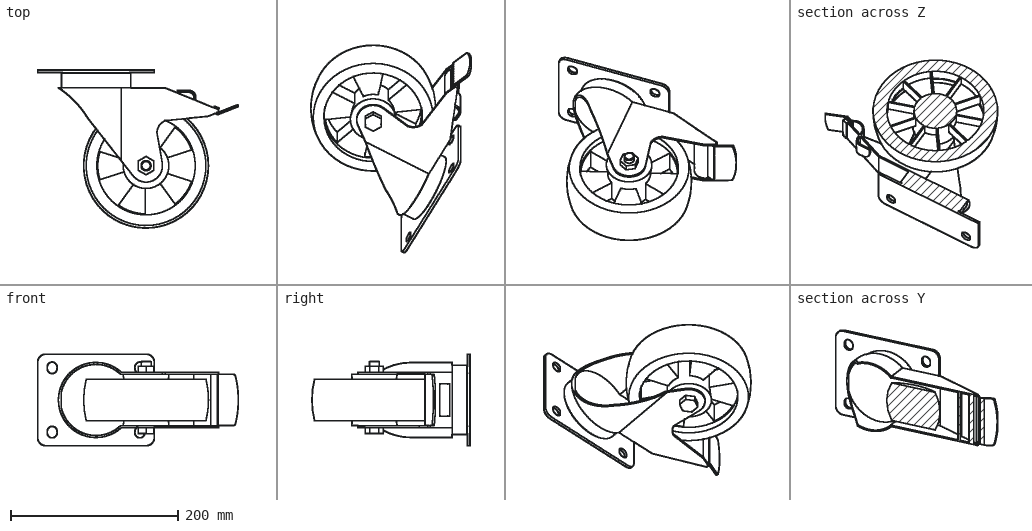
import cadquery as cq
import math


plate_length = 140.0
plate_width = 110.0
plate_thickness = 3.4
plate_corner_radius = 10.0
slot_width = 11.5
slot_length = 13.5
slot_spacing_x = 104.9
slot_spacing_z = 77.0

head_diameter = 83.2
head_chamfer_height = 2.0
head_chamfer_width = 0.7

sheet = 2.5
fork_top = -21.6
shell_radius = 45.0
flange_outer = 33.2
flange_inner = flange_outer - sheet
fork_end = 146.7
roof_bend_x = 83.0
roof_end_y = -47.5
fork_tip_y = -50.7
roof_slope = (roof_end_y - fork_top) / (fork_end - roof_bend_x)

axle_x = 60.0
axle_y = -114.7
wheel_radius = 74.8
wheel_edge_radius = 71.7
wheel_half_width = 25.0
rim_inner_radius = 59.0
web_half_width = 15.5
hub_diameter = 54.5
hub_mid_radius = 26.7
core_radius = 25.7
hub_ring_inner = 19.5
pocket_count = 5
pocket_outer_radius = 57.7
web_wall = 2.2

bolt_diameter = 12.0
bolt_end = 46.5
bolt_chamfer = 1.0
nut_across_flats = 19.0
nut_height = 7.2

boss_radius = 19.7

lever_thickness = 2.5
bend_x = 129.9
bend_y = -41.4
bend_radius = 11.5
bend_sweep_end = 306
tongue_y = -25.7
tongue_start = 97.5
tongue_half_width = 19.2
tongue_corner_radius = 12.0
curl_radius = 7.2
link_length = 10.0
pedal_start = (145.7, -52.5)
pedal_end = (170.3, -42.8)
pedal_tip_x = 170.5
pedal_side_x = 166.5
pedal_corner_radius = 3.0

lip_length = 5.8
lip_height = 2.0


def polar(center, radius, degrees):
    angle = math.radians(degrees)
    return (center[0] + radius * math.cos(angle), center[1] + radius * math.sin(angle))


def tangent_point(point, center, radius, side):
    """Where a line from point touches the circle; side is +1 or -1."""
    dx = point[0] - center[0]
    dy = point[1] - center[1]
    turn = math.acos(radius / math.hypot(dx, dy))
    return polar(center, radius, math.degrees(math.atan2(dy, dx) + side * turn))


def across(profile, half_width):
    """Extrude an XY profile evenly to both sides of Z = 0."""
    return profile.extrude(half_width, both=True)


def bar(start, end, thickness, half_width):
    """Flat strip whose mid-line runs from start to end in the XY plane."""
    length = math.hypot(end[0] - start[0], end[1] - start[1])
    slope = math.degrees(math.atan2(end[1] - start[1], end[0] - start[0]))
    strip = cq.Workplane("XY").box(length, thickness, 2 * half_width, centered=(False, True, True))
    return strip.rotate((0, 0, 0), (0, 0, 1), slope).translate((start[0], start[1], 0))


def bent_strip(center, radius, start_angle, end_angle, half_width):
    """Curved strip of lever sheet around center, from start_angle to end_angle."""
    outer = radius + lever_thickness / 2
    inner = radius - lever_thickness / 2
    middle_angle = (start_angle + end_angle) / 2
    profile = (
        cq.Workplane("XY")
        .moveTo(*polar(center, outer, start_angle))
        .threePointArc(polar(center, outer, middle_angle), polar(center, outer, end_angle))
        .lineTo(*polar(center, inner, end_angle))
        .threePointArc(polar(center, inner, middle_angle), polar(center, inner, start_angle))
        .close()
    )
    return across(profile, half_width)


def mounting_plate():
    plate = (
        cq.Workplane("XZ")
        .rect(plate_length, plate_width)
        .extrude(plate_thickness)
        .edges("|Y")
        .fillet(plate_corner_radius)
    )
    slots = (
        cq.Workplane("XZ")
        .rarray(slot_spacing_x, slot_spacing_z, 2, 2)
        .slot2D(slot_length, slot_width, 90)
        .extrude(plate_thickness)
    )
    return plate.cut(slots)


def swivel_head():
    head = cq.Workplane("XZ", origin=(0, -plate_thickness, 0)).circle(head_diameter / 2)
    head = head.extrude(-plate_thickness - fork_top)
    return head.faces(">Y").chamfer(head_chamfer_width, head_chamfer_height)


def fork_plan(radius, half_width):
    """Round shell joined to a straight channel, seen along Y."""
    depth = fork_top - axle_y + boss_radius
    plane = cq.Workplane("XZ", origin=(0, fork_top, 0))
    channel = plane.center(fork_end / 2, 0).rect(fork_end, 2 * half_width).extrude(depth)
    return plane.circle(radius).extrude(depth).union(channel)


def fork_side():
    """Side outline of the fork, from the shell's front lip round the axle boss to the tip."""
    axle = (axle_x, axle_y)
    shell_front = (-shell_radius, fork_top)
    front_arc_mid = (-28.0, -35.4)
    front_arc_end = (-9.4, -58.7)
    throat_low = (72.9, -74.8)
    throat_mid = (75.8, -66.5)
    throat_high = (83.0, -60.8)
    tip_bend = (134.2, -55.8)
    boss_left = tangent_point(front_arc_end, axle, boss_radius, 1)
    boss_right = tangent_point(throat_low, axle, boss_radius, -1)
    profile = (
        cq.Workplane("XY")
        .moveTo(*shell_front)
        .threePointArc(front_arc_mid, front_arc_end)
        .lineTo(*boss_left)
        .threePointArc((axle_x, axle_y - boss_radius), boss_right)
        .lineTo(*throat_low)
        .threePointArc(throat_mid, throat_high)
        .lineTo(*tip_bend)
        .lineTo(fork_end, fork_tip_y)
        .lineTo(fork_end, roof_end_y)
        .lineTo(roof_bend_x, fork_top)
        .close()
    )
    return across(profile, shell_radius)


def fork():
    below_roof = (
        cq.Workplane("XY")
        .moveTo(-shell_radius, fork_top - sheet)
        .lineTo(roof_bend_x, fork_top - sheet)
        .lineTo(fork_end, roof_end_y - sheet)
        .lineTo(fork_end, axle_y - boss_radius)
        .lineTo(-shell_radius, axle_y - boss_radius)
        .close()
    )
    inside = fork_plan(shell_radius - sheet, flange_inner).intersect(across(below_roof, shell_radius))
    return fork_plan(shell_radius, flange_outer).intersect(fork_side()).cut(inside)


def roof_lip():
    start = (fork_end - lip_length, roof_end_y - lip_length * roof_slope)
    return bar(start, (fork_end, roof_end_y), 2 * lip_height, flange_inner)


def revolved(section):
    """Turn an XY half-section about Y, then stand its axis along Z."""
    return section.revolve(360, (0, 0, 0), (0, 1, 0)).rotate((0, 0, 0), (1, 0, 0), 90)


def tyre_and_web():
    """Crowned tyre round a recessed web."""
    section = (
        cq.Workplane("XY")
        .moveTo(0, -web_half_width)
        .lineTo(rim_inner_radius, -web_half_width)
        .lineTo(rim_inner_radius, -wheel_half_width)
        .lineTo(wheel_edge_radius, -wheel_half_width)
        .threePointArc((wheel_radius, 0), (wheel_edge_radius, wheel_half_width))
        .lineTo(rim_inner_radius, wheel_half_width)
        .lineTo(rim_inner_radius, web_half_width)
        .lineTo(0, web_half_width)
        .close()
    )
    return revolved(section)


def hub():
    """Straight core with a collar at each end that tapers inwards to the core."""
    section = (
        cq.Workplane("XY")
        .moveTo(0, -flange_inner)
        .lineTo(hub_diameter / 2, -flange_inner)
        .threePointArc((hub_mid_radius, -wheel_half_width), (core_radius, -hub_ring_inner))
        .lineTo(core_radius, hub_ring_inner)
        .threePointArc((hub_mid_radius, wheel_half_width), (hub_diameter / 2, flange_inner))
        .lineTo(0, flange_inner)
        .close()
    )
    return revolved(section)


def wheel_pocket():
    """Wedge-shaped pocket that opens at the +Z side and leaves a thin floor."""
    half_angle = 180 / pocket_count / 2
    disc = across(cq.Workplane("XY").circle(pocket_outer_radius), wheel_half_width)
    apex = (web_wall / 2 / math.sin(math.radians(half_angle)), 0)
    reach = 2 * pocket_outer_radius
    upper = (apex[0] + reach, reach * math.tan(math.radians(half_angle)))
    lower = (upper[0], -upper[1])
    wedge = cq.Workplane("XY", origin=(0, 0, web_wall - web_half_width)).polyline([apex, lower, upper])
    return wedge.close().extrude(2 * web_half_width).intersect(disc)


def wheel():
    """The web's pockets open alternately at its two sides, a thin wall apart."""
    top_pocket = wheel_pocket().rotate((0, 0, 0), (0, 0, 1), 180)
    bottom_pocket = wheel_pocket().mirror("XY")
    body = tyre_and_web()
    for index in range(pocket_count):
        angle = index * 360 / pocket_count
        body = body.cut(top_pocket.rotate((0, 0, 0), (0, 0, 1), angle))
        body = body.cut(bottom_pocket.rotate((0, 0, 0), (0, 0, 1), angle))
    return body.union(hub()).translate((axle_x, axle_y, 0))


def axle_bolt():
    nut_reach = flange_outer + nut_height
    nut_corners = nut_across_flats / math.cos(math.radians(30))
    shank = (
        cq.Workplane("XY", origin=(0, 0, -nut_reach))
        .circle(bolt_diameter / 2)
        .extrude(nut_reach + bolt_end)
        .faces(">Z")
        .chamfer(bolt_chamfer)
    )
    for face in (flange_outer, -nut_reach):
        nut = cq.Workplane("XY").polygon(6, nut_corners).extrude(nut_height)
        shank = shank.union(nut.rotate((0, 0, 0), (0, 0, 1), 90).translate((0, 0, face)))
    return shank.translate((axle_x, axle_y, 0))


def lever_tongue():
    """Tongue that rises through the roof and curls back over it, with rounded corners."""
    riser_x = bend_x - bend_radius
    curl_center = (riser_x - curl_radius, tongue_y - curl_radius)
    flat = bar((tongue_start, tongue_y), (curl_center[0], tongue_y), lever_thickness, tongue_half_width)
    flat = flat.edges("|Y").edges("<X").fillet(tongue_corner_radius)
    curl = bent_strip(curl_center, curl_radius, 0, 90, tongue_half_width)
    riser = bar((riser_x, bend_y), (riser_x, curl_center[1]), lever_thickness, tongue_half_width)
    return flat.union(curl).union(riser)


def lever_pedal():
    pedal = bar(pedal_start, pedal_end, lever_thickness, flange_inner)
    outline = (
        cq.Workplane("XZ")
        .moveTo(bend_x, -flange_inner)
        .lineTo(pedal_side_x, -flange_inner)
        .threePointArc((pedal_tip_x, 0), (pedal_side_x, flange_inner))
        .lineTo(bend_x, flange_inner)
        .close()
        .extrude(-fork_tip_y + plate_length)
        .edges("|Y")
        .edges(">X")
        .fillet(pedal_corner_radius)
    )
    return pedal.intersect(outline)


def brake_lever():
    """Tongue, full-width bend under the roof, link parallel to the roof, and foot pedal."""
    riser_x = bend_x - bend_radius
    roof_y = fork_top - sheet / 2 + (riser_x - roof_bend_x) * roof_slope
    riser = bar((riser_x, bend_y), (riser_x, roof_y), lever_thickness, flange_inner)
    bend = bent_strip((bend_x, bend_y), bend_radius, 180, bend_sweep_end, flange_inner)
    link_start = (pedal_start[0] - link_length, pedal_start[1] - link_length * roof_slope)
    link = bar(link_start, pedal_start, lever_thickness, flange_inner)
    return lever_tongue().union(riser).union(bend).union(link).union(lever_pedal())


result = (
    mounting_plate()
    .union(swivel_head())
    .union(fork())
    .union(roof_lip())
    .union(wheel())
    .union(axle_bolt())
    .union(brake_lever())
)